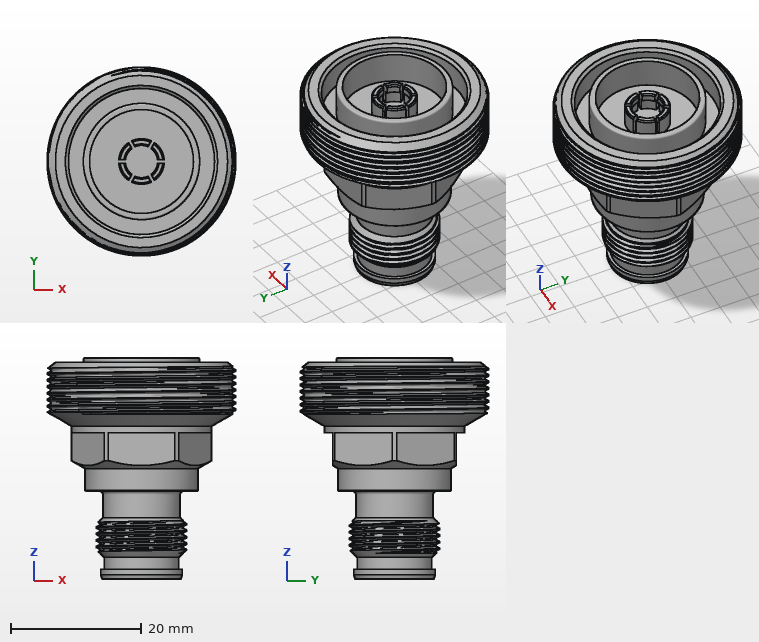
import cadquery as cq
import math

TOTAL_HEIGHT = 34.0
FLANGE_TOP = 1.53
LOWER_NECK_TOP = 3.33
SMALL_THREAD_TOP = 9.45
BODY_BOTTOM = 13.5
BODY_TOP = 17.0
NUT_TOP = 22.47
COLLAR_TOP = 23.5
RIM_TOP = 33.32
SOCKET_FLOOR = 28.9
CONTACT_TOP = 32.23

FLANGE_RADIUS = 6.3
LOWER_NECK_RADIUS = 5.75
SMALL_THREAD_RADIUS = 6.97
NECK_RADIUS = 5.95
BODY_RADIUS = 8.7
NUT_RADIUS = 10.78
LARGE_THREAD_DIAMETER = 29.0
LARGE_THREAD_RADIUS = LARGE_THREAD_DIAMETER / 2
RIM_RADIUS = 13.23

FLANGE_CHAMFER_WIDTH = 0.25
FLANGE_CHAMFER_HEIGHT = 0.68
NECK_FILLET = 0.5
BODY_CHAMFER = 0.17
RIM_SLOPE = 0.8
CONE_SLOPE = math.tan(math.radians(30))

NUT_ACROSS_FLATS = 19.0

RECESS_RADIUS = 11.22
RECESS_CHAMFER = 0.48
BARREL_RADIUS = 8.95
BARREL_BORE_RADIUS = 8.0
BARREL_ROUND = 0.3

CONTACT_RADIUS = 3.5
CONTACT_LIP_RADIUS = 2.48
CONTACT_BORE_RADIUS = 2.82
CONTACT_LIP_HEIGHT = 1.22
CONTACT_CHAMFER = 0.22
SLOT_WIDTH = 0.58
SLOT_COUNT = 3
FLOOR_PLUG_DEPTH = 1.7

PITCH = 1.0
FLANK_TAN = math.tan(math.radians(30))
CREST_FLAT = PITCH / 8
ROOT_FLAT = PITCH / 4
THREAD_DEPTH = (PITCH - CREST_FLAT - ROOT_FLAT) / 2 / FLANK_TAN
LARGE_CREST_HEIGHT = 30.05
SMALL_CREST_HEIGHT = 6.45
CONE_OVERRUN = 0.35


def revolved(outline):
    return outline.close().revolve(360, (0, 0), (0, 1))


def cylinder(radius, bottom, top):
    return cq.Workplane("XY").workplane(offset=bottom).circle(radius).extrude(top - bottom)


def polar_point(radius, angle):
    return radius * math.cos(angle), radius * math.sin(angle)


def threaded_rod(major_radius, bottom, top, crest_height):
    """Single-start right-handed screw, made by twisting its own cross-section along Z."""
    root_radius = major_radius - THREAD_DEPTH
    mid_radius = (major_radius + root_radius) / 2
    crest_angle = math.pi * CREST_FLAT / PITCH
    root_angle = math.pi - math.pi * ROOT_FLAT / PITCH
    mid_angle = (crest_angle + root_angle) / 2
    turns = (top - bottom) / PITCH
    start_turn = (bottom - crest_height) / PITCH
    return (
        cq.Workplane("XY")
        .workplane(offset=bottom)
        .moveTo(*polar_point(major_radius, -crest_angle))
        .threePointArc((major_radius, 0), polar_point(major_radius, crest_angle))
        .threePointArc(polar_point(mid_radius, mid_angle), polar_point(root_radius, root_angle))
        .threePointArc((-root_radius, 0), polar_point(root_radius, -root_angle))
        .threePointArc(polar_point(mid_radius, -mid_angle), polar_point(major_radius, -crest_angle))
        .close()
        .twistExtrude(top - bottom, 360 * turns)
        .rotate((0, 0, 0), (0, 0, 1), 360 * start_turn)
    )


def thread_envelope(major_radius, bottom, bottom_radius, bottom_slope, top, top_radius, top_slope):
    """Solid whose end cones run the thread out; a slope is height gained per unit of radius."""
    outer_radius = major_radius + CONE_OVERRUN
    return revolved(
        cq.Workplane("XZ")
        .moveTo(0, bottom)
        .lineTo(bottom_radius, bottom)
        .lineTo(outer_radius, bottom + (outer_radius - bottom_radius) * bottom_slope)
        .lineTo(outer_radius, top - (outer_radius - top_radius) * top_slope)
        .lineTo(top_radius, top)
        .lineTo(0, top)
    )


def small_thread():
    """Threaded length near the bottom, with a 45 degree cone at each end."""
    rod = threaded_rod(SMALL_THREAD_RADIUS, LOWER_NECK_TOP, SMALL_THREAD_TOP, SMALL_CREST_HEIGHT)
    return rod.intersect(thread_envelope(
        SMALL_THREAD_RADIUS,
        LOWER_NECK_TOP, LOWER_NECK_RADIUS, 1,
        SMALL_THREAD_TOP, NECK_RADIUS, 1,
    ))


def large_thread():
    """Threaded head that flares out from the collar and tapers in to the rim."""
    rod = threaded_rod(LARGE_THREAD_RADIUS, COLLAR_TOP, RIM_TOP, LARGE_CREST_HEIGHT)
    return rod.intersect(thread_envelope(
        LARGE_THREAD_RADIUS,
        COLLAR_TOP, NUT_RADIUS, CONE_SLOPE,
        RIM_TOP, RIM_RADIUS, RIM_SLOPE,
    ))


def bottom_end():
    """Chamfered flange and the narrow neck above it."""
    return revolved(
        cq.Workplane("XZ")
        .moveTo(0, 0)
        .lineTo(FLANGE_RADIUS - FLANGE_CHAMFER_WIDTH, 0)
        .lineTo(FLANGE_RADIUS, FLANGE_CHAMFER_HEIGHT)
        .lineTo(FLANGE_RADIUS, FLANGE_TOP)
        .lineTo(LOWER_NECK_RADIUS, FLANGE_TOP)
        .lineTo(LOWER_NECK_RADIUS, LOWER_NECK_TOP)
        .lineTo(0, LOWER_NECK_TOP)
    )


def middle():
    """Neck, plain body, nut blank and collar between the two threads."""
    nut_cone_height = (NUT_RADIUS - BODY_RADIUS) * CONE_SLOPE
    return revolved(
        cq.Workplane("XZ")
        .moveTo(0, SMALL_THREAD_TOP)
        .lineTo(NECK_RADIUS, SMALL_THREAD_TOP)
        .lineTo(NECK_RADIUS, BODY_BOTTOM - NECK_FILLET)
        .radiusArc((NECK_RADIUS + NECK_FILLET, BODY_BOTTOM), NECK_FILLET)
        .lineTo(BODY_RADIUS - BODY_CHAMFER, BODY_BOTTOM)
        .lineTo(BODY_RADIUS, BODY_BOTTOM + BODY_CHAMFER)
        .lineTo(BODY_RADIUS, BODY_TOP)
        .lineTo(NUT_RADIUS, BODY_TOP + nut_cone_height)
        .lineTo(NUT_RADIUS, COLLAR_TOP)
        .lineTo(0, COLLAR_TOP)
    )


def nut_flats():
    """Material outside the hexagon; two flats face -Y and +Y."""
    height = NUT_TOP - BODY_TOP
    across_corners = NUT_ACROSS_FLATS / math.cos(math.radians(30))
    hexagon = cq.Workplane("XY").workplane(offset=BODY_TOP).polygon(6, across_corners).extrude(height)
    return cylinder(2 * NUT_RADIUS, BODY_TOP, NUT_TOP).cut(hexagon)


def socket_recess():
    """Open well in the top end, widened by a chamfer at its mouth."""
    return revolved(
        cq.Workplane("XZ")
        .moveTo(0, SOCKET_FLOOR)
        .lineTo(RECESS_RADIUS, SOCKET_FLOOR)
        .lineTo(RECESS_RADIUS, RIM_TOP - RECESS_CHAMFER)
        .lineTo(RECESS_RADIUS + RECESS_CHAMFER, RIM_TOP)
        .lineTo(0, RIM_TOP)
    )


def barrel():
    """Thin tube standing in the well and reaching the top of the part, rounded at its outer edge."""
    tube = (
        cylinder(BARREL_RADIUS, SOCKET_FLOOR, TOTAL_HEIGHT)
        .faces(">Z").edges().fillet(BARREL_ROUND)
    )
    return tube.cut(cylinder(BARREL_BORE_RADIUS, SOCKET_FLOOR, TOTAL_HEIGHT))


def contact():
    """Centre contact: a tube with an inner lip, split into fingers by slots."""
    lip_bottom = CONTACT_TOP - CONTACT_LIP_HEIGHT
    fingers = (
        cylinder(CONTACT_RADIUS, SOCKET_FLOOR, CONTACT_TOP)
        .cut(cylinder(CONTACT_LIP_RADIUS, SOCKET_FLOOR, CONTACT_TOP))
        .faces(">Z").chamfer(CONTACT_CHAMFER)
        .cut(cylinder(CONTACT_BORE_RADIUS, SOCKET_FLOOR, lip_bottom))
    )
    height = CONTACT_TOP - SOCKET_FLOOR
    slot = (
        cq.Workplane("XY")
        .workplane(offset=SOCKET_FLOOR)
        .rect(3 * CONTACT_RADIUS, SLOT_WIDTH)
        .extrude(height)
    )
    for index in range(SLOT_COUNT):
        fingers = fingers.cut(slot.rotate((0, 0, 0), (0, 0, 1), index * 180 / SLOT_COUNT))
    return fingers


def connector_without_contact():
    """Everything but the centre contact, whose place is a flat round floor in the barrel."""
    head = large_thread().cut(socket_recess()).union(barrel())
    return middle().cut(nut_flats()).union(bottom_end()).union(small_thread()).union(head)


def replace_floor(housing):
    """Swap the round floor of the barrel for one that carries the contact.

    The new faces meet the old ones at the floor's rim, so the closed skin is simply
    sewn together; a boolean union would be slow against the long thread surfaces.
    """
    floor_centre = (0, 0, SOCKET_FLOOR)
    plain_floor = housing.faces(cq.NearestToPointSelector(floor_centre)).val()
    housing_faces = [face for face in housing.faces().vals() if not face.isSame(plain_floor)]
    plug = cylinder(BARREL_BORE_RADIUS, SOCKET_FLOOR - FLOOR_PLUG_DEPTH, SOCKET_FLOOR).union(contact())
    lowest_kept = SOCKET_FLOOR - FLOOR_PLUG_DEPTH / 4
    contact_faces = [face for face in plug.faces().vals() if face.Center().z > lowest_kept]
    skin = cq.Shell.makeShell(housing_faces + contact_faces)
    return cq.Workplane(obj=cq.Solid.makeSolid(skin))


result = replace_floor(connector_without_contact())